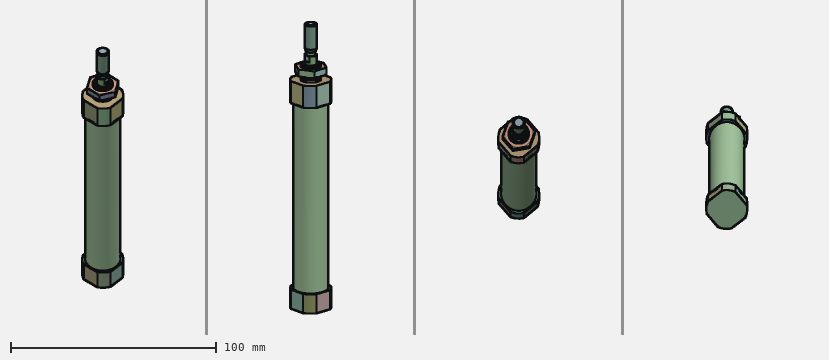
import cadquery as cq
import math

overall_length = 146.1
rear_cap_length = 10.0
front_cap_bottom = 105.9
front_cap_top = 117.3
nut_bottom = 120.4
nut_height = 4.0
nose_top = 125.4

cap_width = 18.0
cap_flat_width = 8.8
barrel_diameter = 17.2
nose_diameter = 10.0
nose_relief_diameter = 8.3
nose_relief_bottom = 119.4
nose_chamfer = (nose_diameter - nose_relief_diameter) / 2

rod_diameter = 6.0
thread_root_diameter = 4.8
relief_diameter = 4.1
shank_top = 130.0
collar_top = 130.5
thread_bottom = 131.8
runout_top = 133.5
rod_chamfer = (rod_diameter - thread_root_diameter) / 2
rod_flat_spacing = 5.0
rod_flat_bottom = 127.0
rod_bottom = front_cap_bottom

nut_across_flats = 14.0
nut_across_corners = nut_across_flats / math.cos(math.radians(30))
nut_face_diameter = 13.6
nut_chamfer_angle = 15.0


def revolve_profile(points):
    """Revolve a closed (radius, height) outline around the Z axis."""
    return cq.Workplane("XZ").polyline(points).close().revolve(360, (0, 0), (0, 1))


def cylinder(diameter, bottom, top):
    return cq.Workplane("XY").workplane(offset=bottom).circle(diameter / 2).extrude(top - bottom)


def end_cap(bottom, top):
    """Square block whose corners are rounded by a circle centred on the axis."""
    corner_diameter = math.hypot(cap_width, cap_flat_width)
    block = (
        cq.Workplane("XY")
        .workplane(offset=bottom)
        .rect(cap_width, cap_width)
        .extrude(top - bottom)
    )
    return block.intersect(cylinder(corner_diameter, bottom, top))


def make_nose():
    """Threaded nose with a relief that starts below the nut and a chamfered tip."""
    nose_radius = nose_diameter / 2
    relief_radius = nose_relief_diameter / 2
    return revolve_profile([
        (0, front_cap_top),
        (nose_radius, front_cap_top),
        (nose_radius, nose_relief_bottom - nose_chamfer),
        (relief_radius, nose_relief_bottom),
        (relief_radius, nut_bottom),
        (nose_radius, nut_bottom),
        (nose_radius, nose_top - nose_chamfer),
        (relief_radius, nose_top),
        (0, nose_top),
    ])


def make_housing():
    rear_cap = end_cap(0, rear_cap_length)
    barrel = cylinder(barrel_diameter, rear_cap_length, front_cap_bottom)
    front_cap = end_cap(front_cap_bottom, front_cap_top)
    rod_hole = cylinder(rod_diameter, rod_bottom, nose_top)
    return rear_cap.union(barrel).union(front_cap).union(make_nose()).cut(rod_hole)


def make_rod():
    rod_radius = rod_diameter / 2
    root_radius = thread_root_diameter / 2
    relief_radius = relief_diameter / 2
    rod = revolve_profile([
        (0, rod_bottom),
        (rod_radius, rod_bottom),
        (rod_radius, shank_top),
        (root_radius, shank_top),
        (root_radius, collar_top),
        (relief_radius, thread_bottom),
        (root_radius, thread_bottom),
        (rod_radius, runout_top),
        (rod_radius, overall_length - rod_chamfer),
        (root_radius, overall_length),
        (0, overall_length),
    ])
    flat_height = shank_top - rod_flat_bottom
    for side in (-1, 1):
        cutter = (
            cq.Workplane("XY")
            .workplane(offset=rod_flat_bottom)
            .center(side * (rod_flat_spacing + rod_diameter) / 2, 0)
            .rect(rod_diameter, 2 * rod_diameter)
            .extrude(flat_height)
        )
        rod = rod.cut(cutter)
    return rod


def make_nut():
    nut_top = nut_bottom + nut_height
    face_radius = nut_face_diameter / 2
    corner_radius = nut_across_corners / 2
    chamfer_height = (corner_radius - face_radius) * math.tan(math.radians(nut_chamfer_angle))
    hexagon = (
        cq.Workplane("XY")
        .workplane(offset=nut_bottom)
        .polygon(6, nut_across_corners)
        .extrude(nut_height)
    )
    envelope = revolve_profile([
        (0, nut_bottom),
        (face_radius, nut_bottom),
        (corner_radius, nut_bottom + chamfer_height),
        (corner_radius, nut_top - chamfer_height),
        (face_radius, nut_top),
        (0, nut_top),
    ])
    nose_hole = cylinder(nose_diameter, nut_bottom, nut_top)
    return hexagon.intersect(envelope).cut(nose_hole)


housing = make_housing()
rod = make_rod()
nut = make_nut()

result = cq.Compound.makeCompound([housing.val(), rod.val(), nut.val()])